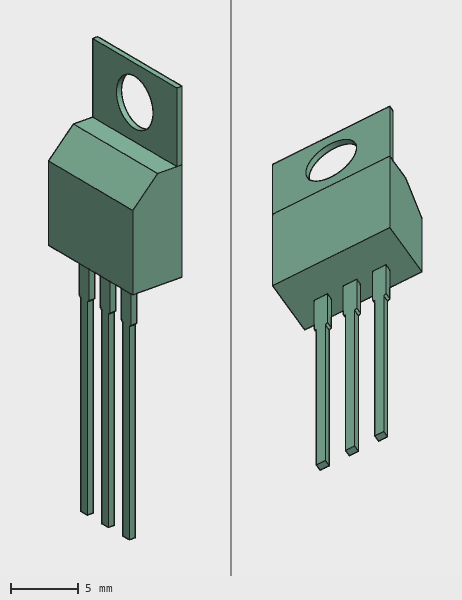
import cadquery as cq

width = 10.15
depth = 4.65
total_height = 37.8

tab_height = 6.58
tab_thickness = 0.5
hole_diameter = 4.4
hole_below_top = 3.3

body_height = 9.4
body_chamfer = 2.35
body_top = total_height - tab_height
body_bottom = body_top - body_height

lead_count = 3
lead_pitch = 2.55
lead_thickness = 0.55
lead_front_offset = 1.35
shoulder_width = 1.17
shoulder_length = 3.78
tip_width = 0.8
taper_length = (shoulder_width - tip_width) / 2
taper_top = body_bottom - shoulder_length
taper_bottom = taper_top - taper_length


def make_tab():
    """Thin plate standing on the rear edge of the body, with a mounting hole."""
    plate = cq.Workplane("XY").box(
        width, tab_thickness, tab_height, centered=(True, False, False)
    )
    plate = plate.translate((0, -tab_thickness, body_top))
    hole = (
        cq.Workplane("XZ")
        .center(0, total_height - hole_below_top)
        .circle(hole_diameter / 2)
        .extrude(tab_thickness)
    )
    return plate.cut(hole)


def make_body():
    """Block with a large chamfer along its top front edge."""
    block = cq.Workplane("XY").box(width, depth, body_height, centered=(True, False, False))
    block = block.faces(">Z").edges("<Y").chamfer(body_chamfer)
    return block.translate((0, -depth, body_bottom))


def make_lead(x):
    """Flat lead below the body, narrowing from a wide shoulder to its tip."""
    half_shoulder = shoulder_width / 2
    half_tip = tip_width / 2
    lead_front = -depth + lead_front_offset
    outline = [
        (-half_shoulder, body_bottom),
        (half_shoulder, body_bottom),
        (half_shoulder, taper_top),
        (half_tip, taper_bottom),
        (half_tip, 0),
        (-half_tip, 0),
        (-half_tip, taper_bottom),
        (-half_shoulder, taper_top),
    ]
    lead = cq.Workplane("XZ").polyline(outline).close().extrude(lead_thickness)
    return lead.translate((x, lead_front + lead_thickness, 0))


tab = make_tab()
body = make_body()
leads = []
for index in range(lead_count):
    lead_x = (index - (lead_count - 1) / 2) * lead_pitch
    leads.append(make_lead(lead_x))

result = cq.Compound.makeCompound([tab.val(), body.val(), *[lead.val() for lead in leads]])